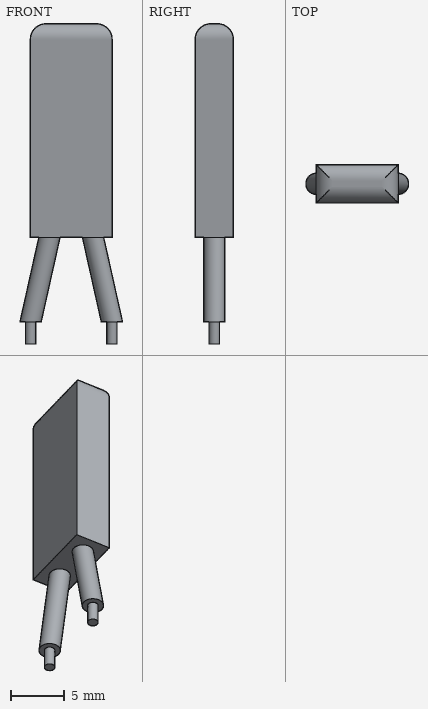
import cadquery as cq

total_height = 30.0
overall_width = 9.63

housing_width = 7.68
housing_depth = 3.6
housing_bottom = 10.0
top_rounding = 1.5

sleeve_diameter = 2.0
wire_diameter = 1.0
wire_length = 2.07
sleeve_top_offset = 2.05
sleeve_bottom_offset = (overall_width - sleeve_diameter) / 2


def make_housing():
    """Rectangular block whose four top edges are rounded and meet in mitred corners."""
    return (
        cq.Workplane("XY")
        .workplane(offset=housing_bottom)
        .rect(housing_width, housing_depth)
        .extrude(total_height - housing_bottom)
        .faces(">Z")
        .edges()
        .fillet(top_rounding)
    )


def make_lead(side):
    """One lead on the -X (side = -1) or +X (side = 1) half, ending at the housing's underside."""
    bottom_x = side * sleeve_bottom_offset
    top_x = side * sleeve_top_offset

    sleeve = (
        cq.Workplane("XY", origin=(bottom_x, 0, wire_length))
        .circle(sleeve_diameter / 2)
        .workplane(offset=housing_bottom - wire_length)
        .center(top_x - bottom_x, 0)
        .circle(sleeve_diameter / 2)
        .loft(ruled=True)
    )
    wire = (
        cq.Workplane("XY", origin=(bottom_x, 0, 0))
        .circle(wire_diameter / 2)
        .extrude(wire_length)
    )
    return sleeve.union(wire)


housing = make_housing()
leads = [make_lead(side) for side in (-1, 1)]

result = cq.Compound.makeCompound([housing.solids().val(), *[lead.solids().val() for lead in leads]])